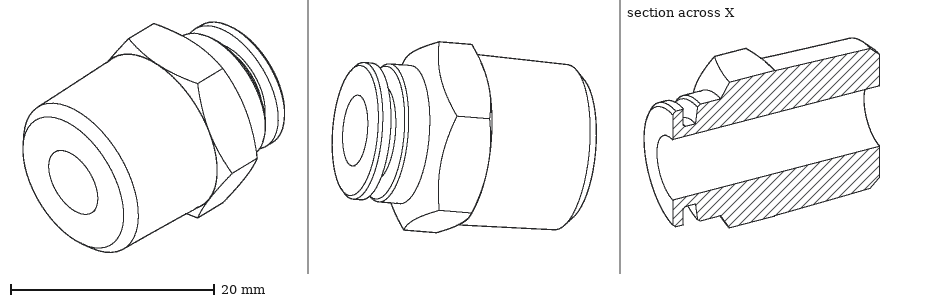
import cadquery as cq
import math

total_length = 22.7

tip_radius = 7.17
thread_small_radius = 8.17
thread_large_radius = 8.47
tip_chamfer_length = 1.05
hex_start = 11.5

across_flats = 17.0
hex_end = 17.43
hex_chamfer_angle = 30.0

collar_radius = 6.83
collar_end = 19.98
collar_chamfer_length = 0.32
collar_chamfer_depth = 0.27
collar_face_rise = 0.23

neck_radius = 4.7
neck_flare = 0.18
flange_radius = 6.76
flange_start = 21.5
flange_chamfer = 0.35

bore_radius = 3.5


def revolve_profile(points):
    """Revolve a closed (radius, Y) outline about the Y axis."""
    outline = cq.Workplane("YZ").polyline([(y, radius) for radius, y in points]).close()
    return outline.revolve(360, (0, 0, 0), (1, 0, 0))


def make_thread():
    return revolve_profile([
        (0, 0),
        (tip_radius, 0),
        (thread_small_radius, tip_chamfer_length),
        (thread_large_radius, hex_start),
        (0, hex_start),
    ])


def make_hexagon():
    """Hexagon with corners on +X and -X, turned to a cone at both ends."""
    corner_diameter = across_flats / math.cos(math.pi / 6)
    corner_radius = corner_diameter / 2
    slope = math.tan(math.radians(hex_chamfer_angle))
    front_radius = across_flats / 2
    front_drop = (corner_radius - front_radius) * slope
    back_drop = (corner_radius - collar_radius) * slope
    prism = (
        cq.Workplane("XZ", origin=(0, hex_start, 0))
        .polygon(6, corner_diameter)
        .extrude(hex_start - hex_end)
    )
    envelope = revolve_profile([
        (0, hex_start),
        (front_radius, hex_start),
        (corner_radius, hex_start + front_drop),
        (corner_radius, hex_end - back_drop),
        (collar_radius, hex_end),
        (0, hex_end),
    ])
    return prism.intersect(envelope)


def make_collar_and_sleeve():
    return revolve_profile([
        (0, hex_end),
        (collar_radius, hex_end),
        (collar_radius, collar_end - collar_chamfer_length),
        (collar_radius - collar_chamfer_depth, collar_end),
        (neck_radius, collar_end + collar_face_rise),
        (neck_radius, flange_start - neck_flare),
        (neck_radius + neck_flare, flange_start),
        (flange_radius, flange_start),
        (flange_radius, total_length - flange_chamfer),
        (flange_radius - flange_chamfer, total_length),
        (0, total_length),
    ])


def make_bore():
    return cq.Workplane("XZ").circle(bore_radius).extrude(-total_length)


body = make_thread().union(make_hexagon()).union(make_collar_and_sleeve())
result = body.cut(make_bore())